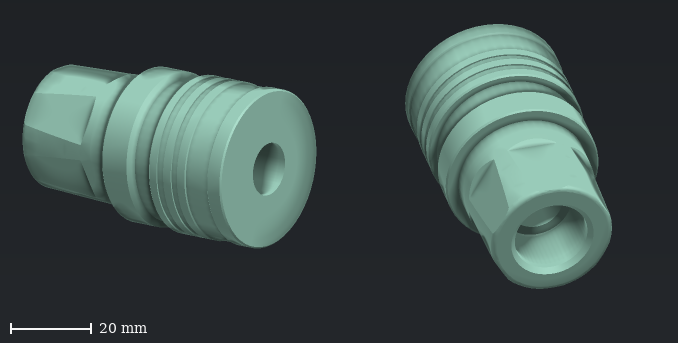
import cadquery as cq

LENGTH = 65.15
FLATS_END = 19.0
CONE_END = 22.1
COLLAR_START = 28.0
COLLAR_END = 35.75
NECK_START = 37.15
SLEEVE_START = 42.75

BANDS = [(SLEEVE_START, 45.3), (47.35, 49.7), (51.6, 53.95), (61.1, LENGTH)]
RECESS_START = BANDS[2][1]
RECESS_END = BANDS[3][0]
RECESS_START_RUN = 0.2
RECESS_END_RUN = -0.4

NOSE_RADIUS = 15.5
SHANK_RADIUS = 16.4
COLLAR_RADIUS = 19.6
NECK_RADIUS = 17.9
BAND_RADIUS = 20.0
NOSE_FILLET = 1.3
EDGE_CHAMFER = 0.4

FLAT_COUNT = 6
FLAT_APOTHEM = 15.0
FLAT_RUNOUT = 1.95
CUTTER_WIDTH = 16.95

HOLE_RADIUS = 6.65
SOCKET_RADIUS = 9.3
SOCKET_FLOOR_RADIUS = 9.0
SOCKET_MOUTH_RADIUS = 10.55
SOCKET_DEPTH = 15.0


def cylinder(start, end, radius):
    return cq.Workplane("YZ", origin=(start, 0, 0)).circle(radius).extrude(end - start)


def revolve_profile(points):
    """Revolve a closed (x, radius) outline about the X axis."""
    return cq.Workplane("XY").polyline(points).close().revolve(360, (0, 0, 0), (1, 0, 0))


def make_nose():
    nose = revolve_profile([
        (0, 0),
        (0, NOSE_RADIUS),
        (CONE_END, SHANK_RADIUS),
        (COLLAR_START, SHANK_RADIUS),
        (COLLAR_START, 0),
    ])
    return nose.faces("<X").edges().fillet(NOSE_FILLET)


def make_collar_and_neck():
    return revolve_profile([
        (COLLAR_START, 0),
        (COLLAR_START, COLLAR_RADIUS - EDGE_CHAMFER),
        (COLLAR_START + EDGE_CHAMFER, COLLAR_RADIUS),
        (COLLAR_END, COLLAR_RADIUS),
        (NECK_START, NECK_RADIUS),
        (SLEEVE_START, NECK_RADIUS),
        (SLEEVE_START, 0),
    ])


def make_sleeve():
    sleeve = cylinder(SLEEVE_START, LENGTH, COLLAR_RADIUS)
    for start, end in BANDS:
        sleeve = sleeve.union(cylinder(start, end, BAND_RADIUS))
    for edge, run in [(RECESS_START, RECESS_START_RUN), (RECESS_END, RECESS_END_RUN)]:
        slope = revolve_profile([
            (edge, 0),
            (edge, BAND_RADIUS),
            (edge + run, COLLAR_RADIUS),
            (edge + run, 0),
        ])
        sleeve = sleeve.union(slope)
    return sleeve.faces("<X or >X").edges().chamfer(EDGE_CHAMFER)


def cut_flats(body):
    cutter = (
        cq.Workplane("XZ")
        .polyline([
            (0, FLAT_APOTHEM),
            (FLATS_END, FLAT_APOTHEM),
            (FLATS_END + FLAT_RUNOUT, FLAT_APOTHEM + FLAT_RUNOUT),
            (0, FLAT_APOTHEM + FLAT_RUNOUT),
        ])
        .close()
        .extrude(CUTTER_WIDTH / 2, both=True)
    )
    for index in range(FLAT_COUNT):
        angle = index * 360 / FLAT_COUNT
        body = body.cut(cutter.rotate((0, 0, 0), (1, 0, 0), angle))
    return body


def make_bore():
    mouth_depth = SOCKET_MOUTH_RADIUS - SOCKET_RADIUS
    floor_step = SOCKET_RADIUS - SOCKET_FLOOR_RADIUS
    return revolve_profile([
        (0, 0),
        (0, SOCKET_MOUTH_RADIUS),
        (mouth_depth, SOCKET_RADIUS),
        (SOCKET_DEPTH - floor_step, SOCKET_RADIUS),
        (SOCKET_DEPTH, SOCKET_FLOOR_RADIUS),
        (SOCKET_DEPTH, HOLE_RADIUS),
        (LENGTH, HOLE_RADIUS),
        (LENGTH, 0),
    ])


body = cut_flats(make_nose())
body = body.union(make_collar_and_neck()).union(make_sleeve())
result = body.cut(make_bore())